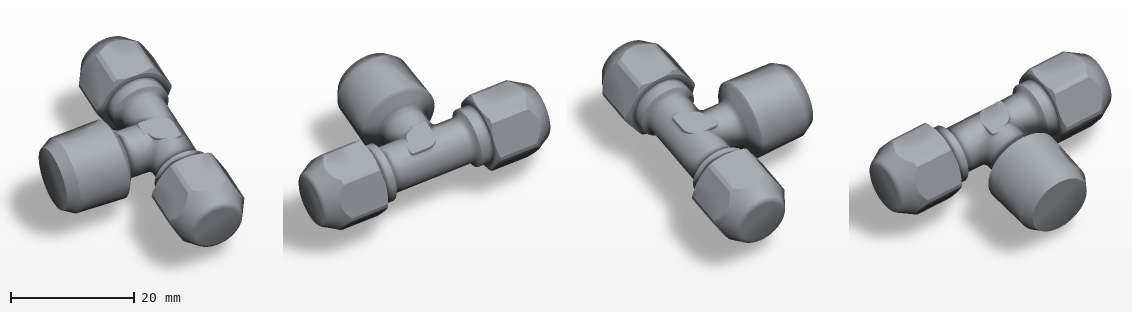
import cadquery as cq
import math


SIN_30 = math.sin(math.radians(30))
COS_30 = math.cos(math.radians(30))
TAN_30 = math.tan(math.radians(30))
COS_45 = math.sqrt(0.5)

half_length = 21.0
tube_radius = 4.0
blend_radius = 1.0
neck_start = 6.7

collar_radius = 5.0

nut_back = 10.0
nut_across_flats = 12.0
nut_corner_radius = 6.7
nut_nose_face_radius = 3.95
nut_nose_round = 0.92
right_nut_turn = -3.0

branch_end = 19.55
plug_radius = 6.75
plug_start = 9.0
plug_rim_start = 8.75
plug_diameter_taper = 1 / 16
plug_tip_length = 1.95

pad_height = 4.05
pad_near = 2.05
pad_far = 3.53
pad_arc_radius = 2.48
pad_step = 0.75
pad_corner_round = 0.5
pad_edge_round = 0.2

flare_axial = blend_radius * COS_30
flare_radial = blend_radius * (1 - SIN_30)
flare_end = neck_start + flare_axial
flare_end_radius = tube_radius + flare_radial


def add_flare(profile):
    """Draw the concave round from the plain tube to the start of the flare cone."""
    middle = (
        neck_start + blend_radius * SIN_30,
        tube_radius + blend_radius * (1 - COS_30),
    )
    return profile.threePointArc(middle, (flare_end, flare_end_radius))


def revolve_about_x(profile):
    return profile.close().revolve(360, (0, 0, 0), (1, 0, 0))


def make_run_half():
    """Tube, flare and collar from the origin towards +X."""
    collar_start = flare_end + (collar_radius - flare_end_radius) * TAN_30
    tube = cq.Workplane("XY").lineTo(0, tube_radius).lineTo(neck_start, tube_radius)
    profile = (
        add_flare(tube)
        .lineTo(collar_start, collar_radius)
        .lineTo(nut_back, collar_radius)
        .lineTo(nut_back, 0)
    )
    return revolve_about_x(profile)


def make_nut():
    """Hexagonal nut on the +X end, with a conical nose and a chamfered back."""
    flat_radius = nut_across_flats / 2
    hexagon = (
        cq.Workplane("YZ", origin=(nut_back, 0, 0))
        .polygon(6, nut_across_flats / COS_30)
        .extrude(half_length - nut_back)
    )
    nose_cone_start = half_length - nut_nose_round * (1 - SIN_30)
    nose_cone_radius = nut_nose_face_radius + nut_nose_round * COS_30
    nose_cone_end = nose_cone_start - (nut_corner_radius - nose_cone_radius) / TAN_30
    nose_middle = (
        half_length - nut_nose_round * (1 - COS_30),
        nut_nose_face_radius + nut_nose_round * SIN_30,
    )
    back_chamfer = (nut_corner_radius - flat_radius) * TAN_30
    envelope = (
        cq.Workplane("XY")
        .moveTo(nut_back, 0)
        .lineTo(nut_back, flat_radius)
        .lineTo(nut_back + back_chamfer, nut_corner_radius)
        .lineTo(nose_cone_end, nut_corner_radius)
        .lineTo(nose_cone_start, nose_cone_radius)
        .threePointArc(nose_middle, (half_length, nut_nose_face_radius))
        .lineTo(half_length, 0)
    )
    return hexagon.intersect(revolve_about_x(envelope))


def make_branch_tube():
    return cq.Workplane("XZ").circle(tube_radius).extrude(neck_start)


def make_plug():
    """Flare and tapered plug, drawn along +X and then turned to point to -Y."""
    rim_radius = flare_end_radius + (plug_rim_start - flare_end) / TAN_30
    tip_start = branch_end - plug_tip_length
    tip_radius = plug_radius - (tip_start - plug_start) * plug_diameter_taper / 2
    face_radius = tip_radius - plug_tip_length * TAN_30
    neck = cq.Workplane("XY").moveTo(neck_start, 0).lineTo(neck_start, tube_radius)
    profile = (
        add_flare(neck)
        .lineTo(plug_rim_start, rim_radius)
        .lineTo(plug_start, plug_radius)
        .lineTo(tip_start, tip_radius)
        .lineTo(branch_end, face_radius)
        .lineTo(branch_end, 0)
    )
    return revolve_about_x(profile).rotate((0, 0, 0), (0, 0, 1), -90)


def make_pad():
    """Leaf-shaped raised pad with a rounded back-left side and a stepped front-right side."""
    centre = pad_arc_radius - pad_near
    arc_middle_offset = pad_arc_radius * COS_45
    back_arc_middle = centre - arc_middle_offset
    front_arc_middle = centre + arc_middle_offset
    front_arc_start = centre + math.sqrt(pad_arc_radius**2 - (pad_step - centre) ** 2)
    outline = (
        cq.Workplane("XY")
        .moveTo(-pad_near, -centre)
        .threePointArc((back_arc_middle, -back_arc_middle), (centre, pad_near))
        .lineTo(pad_far, pad_near)
        .lineTo(pad_far, -pad_step)
        .lineTo(front_arc_start, -pad_step)
        .threePointArc((front_arc_middle, -front_arc_middle), (pad_step, -front_arc_start))
        .lineTo(pad_step, -pad_far)
        .lineTo(-pad_near, -pad_far)
        .close()
    )
    pad = outline.extrude(pad_height)
    for x, y in ((pad_far, pad_near), (-pad_near, -pad_far)):
        corner = cq.selectors.NearestToPointSelector((x, y, pad_height / 2))
        pad = pad.edges(corner).fillet(pad_corner_round)
    return pad.faces(">Z").edges().fillet(pad_edge_round)


def make_tee():
    """Run and branch tubes, blended along the curves where they meet."""
    run_half = make_run_half()
    tee = run_half.union(run_half.mirror("YZ")).union(make_branch_tube())
    meeting_curves = [edge for edge in tee.edges().vals() if edge.geomType() not in ("LINE", "CIRCLE")]
    return tee.newObject(meeting_curves).fillet(blend_radius)


nut = make_nut()
left_nut = nut.mirror("YZ")
right_nut = nut.rotate((0, 0, 0), (1, 0, 0), right_nut_turn)

result = make_tee().union(make_plug()).union(left_nut).union(right_nut).union(make_pad())